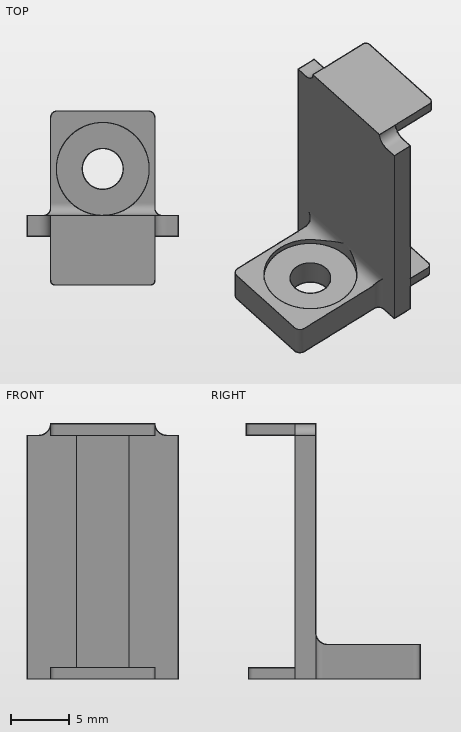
import cadquery as cq

plate_width = 13.0
plate_thickness = 1.8
total_height = 22.0
front_y = -plate_thickness

tongue_width = 9.0
flange_thickness = 1.0
top_flange_length = 4.2
bottom_flange_length = 4.0
flange_corner_radius = 0.4
shoulder_radius = flange_thickness
shoulder_height = total_height - shoulder_radius

block_length = 9.0
block_height = 3.0
block_corner_radius = 0.6
block_top_fillet = 1.0
block_side_fillet = 0.6

groove_width = 4.5
groove_depth = 0.3

hole_diameter = 3.5
recess_diameter = 8.0
recess_depth = 0.5
hole_y = recess_diameter / 2


def make_plate():
    """Plate with a narrower top edge joined to its shoulders by concave arcs."""
    half_plate = plate_width / 2
    half_tongue = tongue_width / 2
    arc_start_x = half_tongue + shoulder_radius
    return (
        cq.Workplane("XZ")
        .moveTo(-half_plate, 0)
        .lineTo(half_plate, 0)
        .lineTo(half_plate, shoulder_height)
        .lineTo(arc_start_x, shoulder_height)
        .radiusArc((half_tongue, total_height), shoulder_radius)
        .lineTo(-half_tongue, total_height)
        .radiusArc((-arc_start_x, shoulder_height), shoulder_radius)
        .lineTo(-half_plate, shoulder_height)
        .close()
        .extrude(plate_thickness)
    )


def make_groove():
    """Cutter for the groove, which runs between the two flanges."""
    groove_height = total_height - 2 * flange_thickness
    return (
        cq.Workplane("XY")
        .box(groove_width, groove_depth, groove_height, centered=(True, False, False))
        .translate((0, front_y, flange_thickness))
    )


def make_flange(length, bottom_z):
    """Flat flange reaching forward from the plate, with rounded front corners."""
    return (
        cq.Workplane("XY")
        .box(tongue_width, length, flange_thickness, centered=(True, False, False))
        .edges("|Z and <Y")
        .fillet(flange_corner_radius)
        .translate((0, front_y - length, bottom_z))
    )


def make_block():
    """Block behind the plate, flaring into it at the top and on both sides."""
    half_tongue = tongue_width / 2
    flare_x = half_tongue + block_side_fillet
    footprint = (
        cq.Workplane("XY")
        .moveTo(-flare_x, 0)
        .lineTo(flare_x, 0)
        .radiusArc((half_tongue, block_side_fillet), block_side_fillet)
        .lineTo(half_tongue, block_length)
        .lineTo(-half_tongue, block_length)
        .lineTo(-half_tongue, block_side_fillet)
        .radiusArc((-flare_x, 0), block_side_fillet)
        .close()
        .extrude(block_height + block_top_fillet)
        .edges("|Z and >Y")
        .fillet(block_corner_radius)
    )
    side_profile = (
        cq.Workplane("YZ")
        .lineTo(block_length, 0)
        .lineTo(block_length, block_height)
        .lineTo(block_top_fillet, block_height)
        .radiusArc((0, block_height + block_top_fillet), block_top_fillet)
        .close()
        .extrude(flare_x, both=True)
    )
    return footprint.intersect(side_profile)


def make_stepped_hole():
    """Cutter for the through hole and the wide recess above it."""
    recess_floor = block_height - recess_depth
    recess = (
        cq.Workplane("XY", origin=(0, hole_y, recess_floor))
        .circle(recess_diameter / 2)
        .extrude(recess_depth + block_top_fillet)
    )
    hole = cq.Workplane("XY", origin=(0, hole_y, 0)).circle(hole_diameter / 2).extrude(block_height)
    return recess.union(hole)


result = (
    make_plate()
    .cut(make_groove())
    .union(make_flange(top_flange_length, total_height - flange_thickness))
    .union(make_flange(bottom_flange_length, 0))
    .union(make_block().cut(make_stepped_hole()))
)